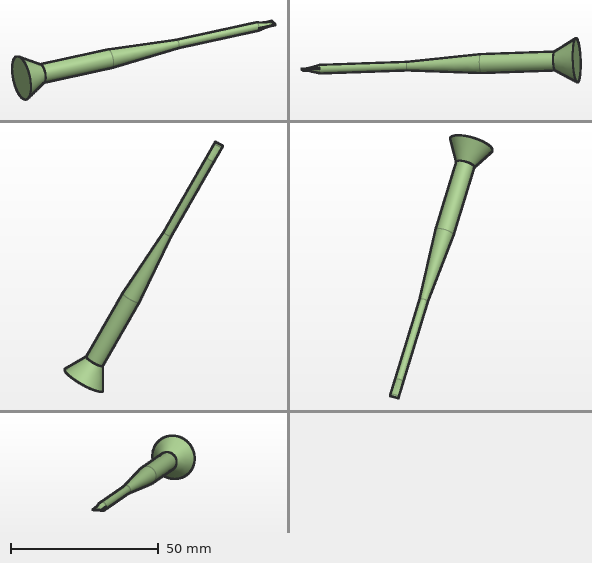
import cadquery as cq
import math

total_length = 94.3
head_length = 7.5
handle_length = 25.4
taper_length = 25.4
shaft_length = 29.9
blade_length = 0.85

head_radius = 15.0 / 2
handle_radius = 6.5 / 2
shaft_radius = 3.0 / 2
blade_thickness = 0.3

head_end = head_length
handle_end = head_end + handle_length
taper_end = handle_end + taper_length
shaft_end = taper_end + shaft_length
blade_start = total_length - blade_length


def make_body():
    """Conical head, cylindrical handle, taper and slim shaft, turned about Y."""
    return (
        cq.Workplane("XY")
        .polyline([
            (0, 0),
            (head_radius, 0),
            (handle_radius, head_end),
            (handle_radius, handle_end),
            (shaft_radius, taper_end),
            (shaft_radius, shaft_end),
            (0, shaft_end),
        ])
        .close()
        .revolve(360, (0, 0, 0), (0, 1, 0))
    )


def shaft_section():
    """Shaft circle split into four arcs that pair with the blade's four sides."""
    half_height = blade_thickness / 2
    half_width = math.sqrt(shaft_radius**2 - half_height**2)
    corners = [
        cq.Vector(-half_width, shaft_end, -half_height),
        cq.Vector(half_width, shaft_end, -half_height),
        cq.Vector(half_width, shaft_end, half_height),
        cq.Vector(-half_width, shaft_end, half_height),
    ]
    middles = [
        cq.Vector(0, shaft_end, -shaft_radius),
        cq.Vector(shaft_radius, shaft_end, 0),
        cq.Vector(0, shaft_end, shaft_radius),
        cq.Vector(-shaft_radius, shaft_end, 0),
    ]
    arcs = []
    for i, middle in enumerate(middles):
        next_corner = corners[(i + 1) % len(corners)]
        arcs.append(cq.Edge.makeThreePointArc(corners[i], middle, next_corner))
    return cq.Wire.assembleEdges(arcs)


def blade_section():
    """Thin rectangle, as wide as the shaft, where the blade begins."""
    half_height = blade_thickness / 2
    return cq.Wire.makePolygon(
        [
            cq.Vector(-shaft_radius, blade_start, -half_height),
            cq.Vector(shaft_radius, blade_start, -half_height),
            cq.Vector(shaft_radius, blade_start, half_height),
            cq.Vector(-shaft_radius, blade_start, half_height),
        ],
        close=True,
    )


def make_tip():
    """Ruled transition from the round shaft to the thin blade."""
    return cq.Solid.makeLoft([shaft_section(), blade_section()], True)


def make_blade():
    """Flat screwdriver edge at the far end."""
    return (
        cq.Workplane("XY")
        .box(2 * shaft_radius, blade_length, blade_thickness)
        .translate((0, total_length - blade_length / 2, 0))
    )


result = make_body().union(make_tip()).union(make_blade())